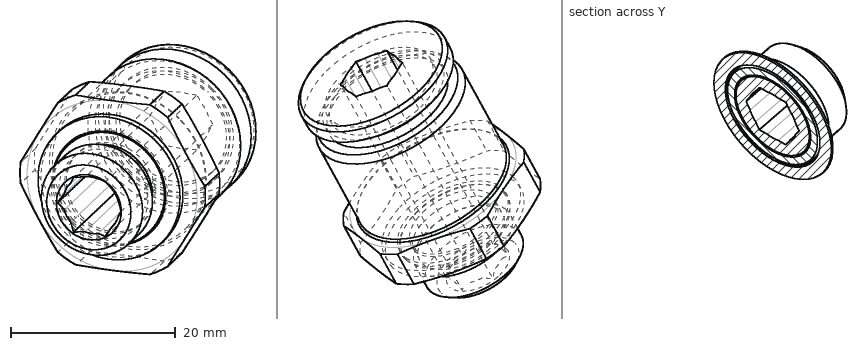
import cadquery as cq
import math


thread_radius = 6.55
thread_end_radius = 5.45
thread_end_chamfer = thread_radius - thread_end_radius
thread_back = 5.0
thread_back_chamfer = 0.5
neck_radius = 5.75

collar_radius = 9.2
collar_start = 7.0

ring_outer_radius = 7.2
ring_start = 6.1
ring_section_radius = (ring_outer_radius - neck_radius) / 2
ring_center_radius = neck_radius + ring_section_radius
ring_center = ring_start + ring_section_radius
groove_radius = 7.35
groove_bottom = ring_center + ring_section_radius

hex_across_flats = 22.0
hex_corner_radius = 12.0
hex_start = 8.0
hex_end = 13.5
hex_chamfer_angle = 15.0
hex_chamfer_radius = hex_across_flats / 2
hex_chamfer_length = (hex_corner_radius - hex_chamfer_radius) * math.tan(math.radians(hex_chamfer_angle))

sleeve_radius = 9.9
sleeve_foot_radius = 10.15
sleeve_start = 13.8
sleeve_end = 27.2
sleeve_chamfer_length = 1.0
sleeve_chamfer_width = 0.55

guide_radius = 8.05
guide_end = 28.5
button_neck_radius = 7.15
button_start = 29.8
button_radius = 9.9
button_chamfer = 0.5
fitting_end = 32.0

bore_radius = 3.65
socket_across_flats = 7.1
mouth_radius = 4.2
mouth_angle = 35.0


def revolve_about_y(outline):
    """Turn a closed outline of (radius, Y) points about the Y axis."""
    return cq.Workplane("XY").polyline(outline).close().revolve(360, (0, 0, 0), (0, 1, 0))


def hex_prism(across_flats, start, end):
    """Hexagonal prism along Y with two of its corners on the X axis."""
    across_corners = across_flats / math.cos(math.radians(30))
    return (
        cq.Workplane("XZ", origin=(0, start, 0))
        .polygon(6, across_corners)
        .extrude(start - end)
    )


def make_turned_profile():
    """Everything round on the outside, with the groove that holds the O-ring."""
    return revolve_about_y([
        (0, 0),
        (thread_end_radius, 0),
        (thread_radius, thread_end_chamfer),
        (thread_radius, thread_back - thread_back_chamfer),
        (neck_radius, thread_back),
        (neck_radius, groove_bottom),
        (groove_radius, groove_bottom),
        (groove_radius, collar_start),
        (collar_radius, collar_start),
        (collar_radius, hex_start),
        (sleeve_foot_radius, hex_start),
        (sleeve_foot_radius, hex_end),
        (sleeve_radius, sleeve_start),
        (sleeve_radius, sleeve_end - sleeve_chamfer_length),
        (sleeve_radius - sleeve_chamfer_width, sleeve_end),
        (guide_radius, sleeve_end),
        (guide_radius, guide_end),
        (button_neck_radius, guide_end),
        (button_neck_radius, button_start),
        (button_radius, button_start),
        (button_radius, fitting_end - button_chamfer),
        (button_radius - button_chamfer, fitting_end),
        (0, fitting_end),
    ])


def make_hexagon():
    """Spanner hexagon with rounded corners and both faces chamfered."""
    turned_blank = revolve_about_y([
        (0, hex_start),
        (hex_chamfer_radius, hex_start),
        (hex_corner_radius, hex_start + hex_chamfer_length),
        (hex_corner_radius, hex_end - hex_chamfer_length),
        (hex_chamfer_radius, hex_end),
        (0, hex_end),
    ])
    return hex_prism(hex_across_flats, hex_start, hex_end).intersect(turned_blank)


def make_bore():
    """Round bore, key socket and conical mouth, to be cut out of the fitting."""
    mouth_depth = mouth_radius / math.tan(math.radians(mouth_angle))
    mouth = revolve_about_y([(0, 0), (mouth_radius, 0), (0, mouth_depth)])
    round_bore = cq.Workplane("XZ").circle(bore_radius).extrude(-fitting_end)
    return hex_prism(socket_across_flats, 0, fitting_end).union(round_bore).union(mouth)


def make_fitting():
    return make_turned_profile().union(make_hexagon()).cut(make_bore())


def make_o_ring():
    return (
        cq.Workplane("XY")
        .center(ring_center_radius, ring_center)
        .circle(ring_section_radius)
        .revolve(360, (-ring_center_radius, 0, 0), (-ring_center_radius, 1, 0))
    )


fitting = make_fitting()
o_ring = make_o_ring()
result = cq.Compound.makeCompound([fitting.val(), o_ring.val()])